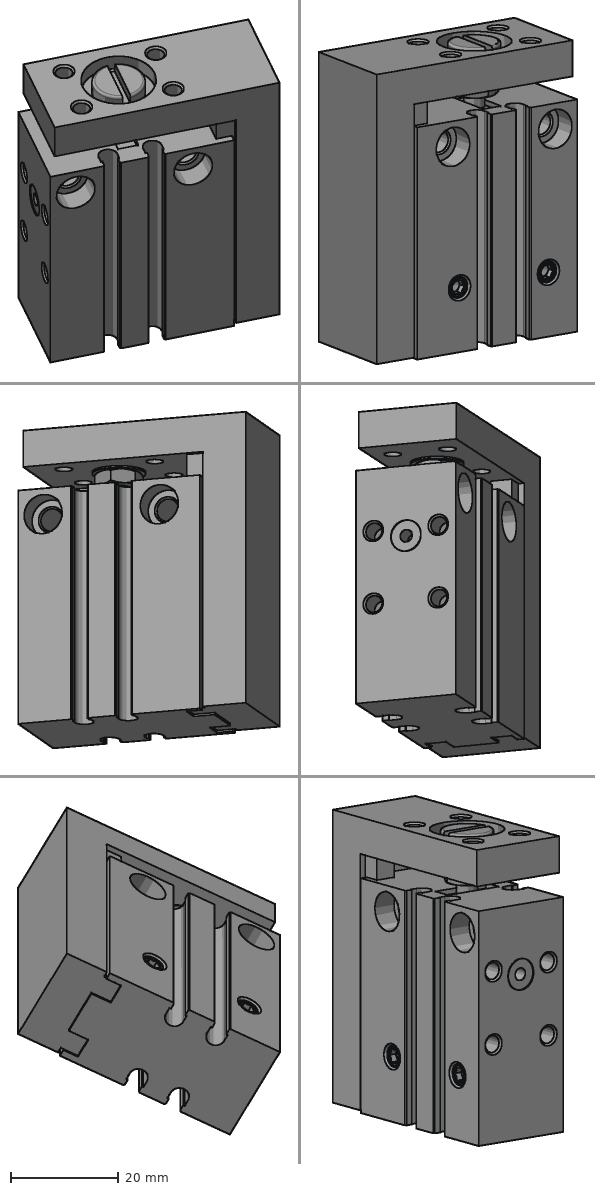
import cadquery as cq
import math


HOUSING_WIDTH = 20.0
HOUSING_DEPTH = 36.0
HOUSING_HEIGHT = 45.0
SIDE_X = HOUSING_WIDTH / 2
AXIS_Y = 16.5

TOTAL_DEPTH = 45.0
TOTAL_HEIGHT = 56.5
TABLE_WIDTH = 19.5
TABLE_BOTTOM_Z = 0.4
PLATE_FRONT_Y = 0.9
PLATE_THICKNESS = 7.0
PLATE_BOTTOM_Z = TOTAL_HEIGHT - PLATE_THICKNESS
WALL_FRONT_Y = 36.5

GUIDE_WIDTH = 17.25
TONGUE_WIDTH = 9.0
LEG_WIDTH = (GUIDE_WIDTH - TONGUE_WIDTH) / 2
LEG_CENTRE_X = (TONGUE_WIDTH + LEG_WIDTH) / 2
LEG_FRONT_Y = 32.9
TONGUE_BACK_Y = 37.0

THREAD_DIAMETER = 4.0
TAP_DIAMETER = 3.2
DRILL_POINT_ANGLE = 118.0
PLATE_HOLE_X = 5.5
PLATE_HOLE_SPAN_Y = 9.0
FRONT_HOLE_X = 6.5
FRONT_HOLE_HEIGHTS = (19.0, 33.0)
FRONT_HOLE_DEPTH = 5.0

GROOVE_OFFSET_Y = 4.35
GROOVE_MOUTH = 3.45
GROOVE_LIP = 3.0
GROOVE_LIP_DEPTH = 1.4
GROOVE_BORE = 3.6
GROOVE_BORE_DEPTH = 2.75

MOUNT_HOLE_YS = (5.0, 27.95)
MOUNT_HOLE_Z = 40.0
MOUNT_DIAMETER = 4.3
MOUNT_RIM_DIAMETER = 5.0
MOUNT_COUNTERBORE = 7.5
MOUNT_COUNTERBORE_DEPTH = 4.5

POCKET_LENGTH = 12.0
POCKET_WIDTH = 4.0
POCKET_DEPTH = 1.0

PLUG_Z = 31.5
PLUG_DIAMETER = 6.0
PLUG_BORE = 2.4
PLUG_RECESS = 0.2
PLUG_LENGTH = 4.0

SCREW_YS = (6.5, 26.5)
SCREW_Z = 12.5
SCREW_DIAMETER = 4.1
SCREW_SEAT_RIM = 5.0
SCREW_RECESS = (SCREW_SEAT_RIM - SCREW_DIAMETER) / 2
SCREW_LENGTH = 5.0
SCREW_CHAMFER = 0.3
SOCKET_FLATS = 2.5
SOCKET_DEPTH = 1.5

ROD_DIAMETER = 4.0
ROD_BOTTOM_Z = 35.05
ROD_TOP_Z = 52.0
BUSH_DIAMETER = 10.0
BUSH_DROP = 0.35
BUSH_BOTTOM_Z = PLATE_BOTTOM_Z - BUSH_DROP
BUSH_TOP_Z = TOTAL_HEIGHT
BUSH_FILLET = 0.5
SLOT_WIDTH = 1.5
SLOT_DEPTH = 2.0
BUSH_COUNTERBORE = 14.0
BUSH_COUNTERBORE_DEPTH = 3.0
NUT_FLATS = 8.0
NUT_THICKNESS = 2.65
NUT_CHAMFER_ANGLE = 30.0


def box(x_size, y_range, z_range, x_centre=0.0):
    y0, y1 = y_range
    z0, z1 = z_range
    corner = (x_centre - x_size / 2, y0, z0)
    return cq.Workplane("XY").box(x_size, y1 - y0, z1 - z0, centered=False).translate(corner)


def cylinder(start, direction, diameter, length):
    return cq.Workplane(cq.Solid.makeCylinder(diameter / 2, length, cq.Vector(*start), cq.Vector(*direction)))


def cone(start, direction, diameter, end_diameter, length):
    return cq.Workplane(
        cq.Solid.makeCone(diameter / 2, end_diameter / 2, length, cq.Vector(*start), cq.Vector(*direction))
    )


def point_along(start, direction, distance):
    return tuple(s + d * distance for s, d in zip(start, direction))


def drill_point(start, direction, diameter):
    length = diameter / 2 / math.tan(math.radians(DRILL_POINT_ANGLE / 2))
    return cone(start, direction, diameter, 0, length)


def hexagon_width(flats):
    """Width across the corners of a hexagon."""
    return flats / math.cos(math.radians(30))


def tapped_hole(start, direction, depth):
    """Tap-drill cylinder with a 45 degree countersink up to the thread diameter."""
    sink = cone(start, direction, THREAD_DIAMETER, TAP_DIAMETER, (THREAD_DIAMETER - TAP_DIAMETER) / 2)
    return cylinder(start, direction, TAP_DIAMETER, depth).union(sink)


def front_holes():
    """Cutters for the four blind tapped holes with drill points in the front face."""
    inward = (0, 1, 0)
    cutters = []
    for x in (-FRONT_HOLE_X, FRONT_HOLE_X):
        for z in FRONT_HOLE_HEIGHTS:
            start = (x, 0, z)
            end = point_along(start, inward, FRONT_HOLE_DEPTH)
            cutters.append(tapped_hole(start, inward, FRONT_HOLE_DEPTH))
            cutters.append(drill_point(end, inward, TAP_DIAMETER))
    return cutters


def groove_outline():
    """Section of one groove: X is the depth from the side face, Y the offset from its middle."""
    mouth = GROOVE_MOUTH / 2
    lip = GROOVE_LIP / 2
    bore = GROOVE_BORE / 2
    chamfer = mouth - lip
    return (
        cq.Workplane("XY")
        .moveTo(0, -mouth)
        .lineTo(chamfer, -lip)
        .lineTo(GROOVE_LIP_DEPTH, -lip)
        .lineTo(GROOVE_LIP_DEPTH, -bore)
        .lineTo(GROOVE_BORE_DEPTH, -bore)
        .threePointArc((GROOVE_BORE_DEPTH + bore, 0), (GROOVE_BORE_DEPTH, bore))
        .lineTo(GROOVE_LIP_DEPTH, bore)
        .lineTo(GROOVE_LIP_DEPTH, lip)
        .lineTo(chamfer, lip)
        .lineTo(0, mouth)
        .close()
    )


def sensor_grooves():
    """Cutters for the round-bottomed T-grooves that run the full height of both sides."""
    groove = groove_outline().extrude(HOUSING_HEIGHT).translate((-SIDE_X, 0, 0))
    cutters = []
    for turn in (0, 180):
        turned = groove.rotate((0, 0, 0), (0, 0, 1), turn)
        for offset in (-GROOVE_OFFSET_Y, GROOVE_OFFSET_Y):
            cutters.append(turned.translate((0, AXIS_Y + offset, 0)))
    return cutters


def mounting_holes():
    """Cutters for the through holes across the housing, counterbored from both sides."""
    rim_depth = (MOUNT_RIM_DIAMETER - MOUNT_DIAMETER) / 2
    cutters = []
    for y in MOUNT_HOLE_YS:
        for side in (-1, 1):
            inward = (-side, 0, 0)
            face = (side * SIDE_X, y, MOUNT_HOLE_Z)
            floor = point_along(face, inward, MOUNT_COUNTERBORE_DEPTH)
            cutters.append(cylinder(face, inward, MOUNT_COUNTERBORE, MOUNT_COUNTERBORE_DEPTH))
            cutters.append(cone(floor, inward, MOUNT_RIM_DIAMETER, MOUNT_DIAMETER, rim_depth))
        cutters.append(cylinder((-SIDE_X, y, MOUNT_HOLE_Z), (1, 0, 0), MOUNT_DIAMETER, HOUSING_WIDTH))
    return cutters


def screw_seats():
    """Cutters for the countersunk set screw holes in the -X side."""
    inward = (1, 0, 0)
    cutters = []
    for y in SCREW_YS:
        face = (-SIDE_X, y, SCREW_Z)
        cutters.append(cone(face, inward, SCREW_SEAT_RIM, SCREW_DIAMETER, SCREW_RECESS))
        cutters.append(cylinder(face, inward, SCREW_DIAMETER, SCREW_RECESS + SCREW_LENGTH))
    return cutters


def rod_pocket():
    """Cutter for the shallow pocket across the rod in the housing top."""
    pocket_range = (AXIS_Y - POCKET_WIDTH / 2, AXIS_Y + POCKET_WIDTH / 2)
    return box(POCKET_LENGTH, pocket_range, (HOUSING_HEIGHT - POCKET_DEPTH, HOUSING_HEIGHT))


def make_housing():
    housing = box(HOUSING_WIDTH, (0, HOUSING_DEPTH), (0, HOUSING_HEIGHT))
    housing = housing.union(box(TONGUE_WIDTH, (LEG_FRONT_Y, TONGUE_BACK_Y), (0, HOUSING_HEIGHT)))
    cutters = [
        box(LEG_WIDTH, (LEG_FRONT_Y, HOUSING_DEPTH), (0, HOUSING_HEIGHT), x)
        for x in (-LEG_CENTRE_X, LEG_CENTRE_X)
    ]
    cutters += sensor_grooves() + mounting_holes() + front_holes() + screw_seats()
    cutters.append(rod_pocket())
    cutters.append(cylinder((0, 0, PLUG_Z), (0, 1, 0), PLUG_DIAMETER, PLUG_RECESS + PLUG_LENGTH))
    cutters.append(cylinder((0, AXIS_Y, ROD_BOTTOM_Z), (0, 0, 1), ROD_DIAMETER, HOUSING_HEIGHT))
    for cutter in cutters:
        housing = housing.cut(cutter)
    return housing


def make_table():
    table = box(TABLE_WIDTH, (PLATE_FRONT_Y, TOTAL_DEPTH), (PLATE_BOTTOM_Z, TOTAL_HEIGHT))
    table = table.union(box(TABLE_WIDTH, (WALL_FRONT_Y, TOTAL_DEPTH), (TABLE_BOTTOM_Z, TOTAL_HEIGHT)))
    guide_heights = (TABLE_BOTTOM_Z, PLATE_BOTTOM_Z)
    table = table.union(box(GUIDE_WIDTH, (LEG_FRONT_Y, WALL_FRONT_Y), guide_heights))
    table = table.cut(box(TONGUE_WIDTH, (LEG_FRONT_Y, TONGUE_BACK_Y), guide_heights))

    down = (0, 0, -1)
    bush_centre = (0, AXIS_Y, TOTAL_HEIGHT)
    table = table.cut(cylinder(bush_centre, down, BUSH_COUNTERBORE, BUSH_COUNTERBORE_DEPTH))
    table = table.cut(cylinder(bush_centre, down, BUSH_DIAMETER, PLATE_THICKNESS))
    for x in (-PLATE_HOLE_X, PLATE_HOLE_X):
        for y in (AXIS_Y - PLATE_HOLE_SPAN_Y, AXIS_Y + PLATE_HOLE_SPAN_Y):
            table = table.cut(tapped_hole((x, y, TOTAL_HEIGHT), down, PLATE_THICKNESS))
    return table


def make_rod():
    return cylinder((0, AXIS_Y, ROD_BOTTOM_Z), (0, 0, 1), ROD_DIAMETER, ROD_TOP_Z - ROD_BOTTOM_Z)


def make_nut(rod):
    """Hexagon nut under the bush, with its corners chamfered at both ends."""
    corners = hexagon_width(NUT_FLATS)
    chamfer_width = (corners - NUT_FLATS) / 2
    chamfer_height = chamfer_width * math.tan(math.radians(NUT_CHAMFER_ANGLE))
    nut = cq.Workplane("XY").polygon(6, corners).extrude(NUT_THICKNESS)
    turned = cq.Workplane("XY").circle(corners / 2).extrude(NUT_THICKNESS)
    turned = turned.faces("<Z or >Z").chamfer(chamfer_height, chamfer_width)
    nut = nut.intersect(turned)
    return nut.translate((0, AXIS_Y, BUSH_BOTTOM_Z - NUT_THICKNESS)).cut(rod)


def make_bush(rod):
    """Round bush through the table plate, with a rounded top edge and a screwdriver slot."""
    bush = cylinder((0, AXIS_Y, BUSH_BOTTOM_Z), (0, 0, 1), BUSH_DIAMETER, BUSH_TOP_Z - BUSH_BOTTOM_Z)
    bush = bush.faces(">Z").fillet(BUSH_FILLET)
    slot_range = (AXIS_Y - SLOT_WIDTH / 2, AXIS_Y + SLOT_WIDTH / 2)
    slot = box(BUSH_DIAMETER, slot_range, (BUSH_TOP_Z - SLOT_DEPTH, BUSH_TOP_Z))
    return bush.cut(slot).cut(rod)


def make_plug():
    start = (0, PLUG_RECESS, PLUG_Z)
    inward = (0, 1, 0)
    plug = cylinder(start, inward, PLUG_DIAMETER, PLUG_LENGTH)
    return plug.cut(cylinder(start, inward, PLUG_BORE, PLUG_LENGTH))


def make_set_screw(y):
    """Set screw with a chamfered head and a countersunk hexagon socket ending in a drill point."""
    inward = (1, 0, 0)
    head = (-SIDE_X + SCREW_RECESS, y, SCREW_Z)
    socket_end = point_along(head, inward, SOCKET_DEPTH)
    corners = hexagon_width(SOCKET_FLATS)
    screw = cylinder(head, inward, SCREW_DIAMETER, SCREW_LENGTH).faces("<X").chamfer(SCREW_CHAMFER)
    socket = cq.Workplane("YZ").polygon(6, corners).extrude(SOCKET_DEPTH).translate(head)
    sink = cone(head, inward, corners, SOCKET_FLATS, (corners - SOCKET_FLATS) / 2)
    return screw.cut(socket).cut(sink).cut(drill_point(socket_end, inward, SOCKET_FLATS))


housing = make_housing()
table = make_table()
rod = make_rod()
nut = make_nut(rod)
bush = make_bush(rod)
plug = make_plug()
set_screws = [make_set_screw(y) for y in SCREW_YS]

bodies = [housing, table, rod, nut, bush, plug, *set_screws]
result = cq.Compound.makeCompound([body.val() for body in bodies])